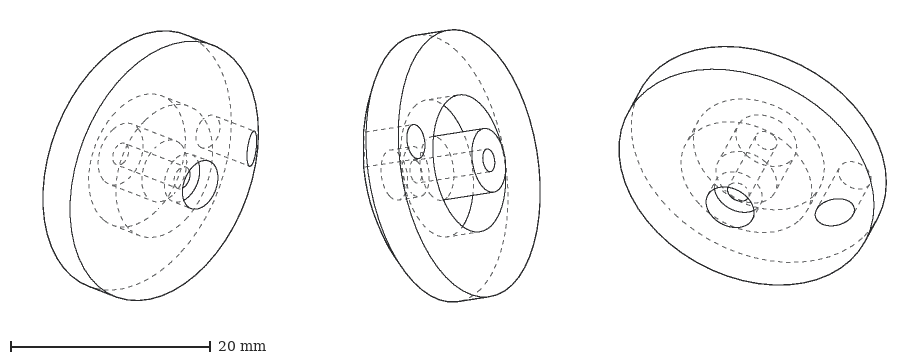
import cadquery as cq
import math

rim_diameter = 27.03
rim_thickness = 3.81
overall_length = 11.12
hub_diameter = 6.45
hub_projection = 2.29
bore_diameter = 2.29
head_recess_diameter = 5.08
head_recess_depth = 2.54
groove_diameter = 13.87
groove_depth = 3.81
side_hole_diameter = 3.45
side_hole_offset = 10.16

rim_radius = rim_diameter / 2
dome_rim_x = rim_thickness
dome_end_x = overall_length - hub_projection
dome_end_radius = head_recess_diameter / 2

dome_rise = dome_end_x - dome_rim_x
sphere_center_x = dome_rim_x + (dome_rise**2 + dome_end_radius**2 - rim_radius**2) / (2 * dome_rise)
sphere_radius = math.hypot(dome_rim_x - sphere_center_x, rim_radius)
dome_mid_radius = (rim_radius + dome_end_radius) / 2
dome_mid_x = sphere_center_x + math.sqrt(sphere_radius**2 - dome_mid_radius**2)


def x_cylinder(diameter, start_x, end_x, center_y=0):
    """Solid cylinder along X between two X positions."""
    plane = cq.Workplane("YZ", origin=(start_x, center_y, 0))
    return plane.circle(diameter / 2).extrude(end_x - start_x)


def domed_disk():
    """Cylindrical rim with a spherical front, flat across the head recess."""
    profile = (
        cq.Workplane("XY")
        .lineTo(0, rim_radius)
        .lineTo(dome_rim_x, rim_radius)
        .threePointArc((dome_mid_x, dome_mid_radius), (dome_end_x, dome_end_radius))
        .lineTo(dome_end_x, 0)
        .close()
    )
    return profile.revolve(360, (0, 0, 0), (1, 0, 0))


body = domed_disk().cut(x_cylinder(groove_diameter, 0, groove_depth))
body = body.union(x_cylinder(hub_diameter, -hub_projection, groove_depth))

body = body.cut(x_cylinder(bore_diameter, -hub_projection, dome_end_x))
body = body.cut(x_cylinder(head_recess_diameter, dome_end_x - head_recess_depth, dome_end_x))

result = body.cut(x_cylinder(side_hole_diameter, 0, dome_end_x, side_hole_offset))